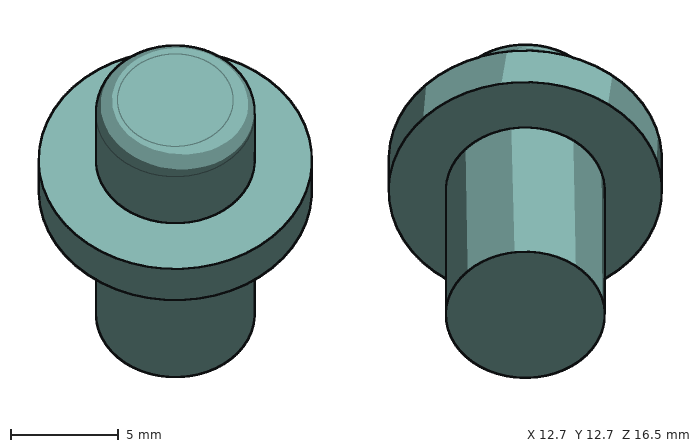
import cadquery as cq

total_height = 16.5
pin_diameter = 7.4
flange_diameter = 12.7
flange_base_height = 9.49
flange_thickness = 2.41
tip_radius = 1.0

pin = cq.Workplane("XY").circle(pin_diameter / 2).extrude(total_height)
pin = pin.faces(">Z").edges().fillet(tip_radius)

flange = (
    cq.Workplane("XY")
    .workplane(offset=flange_base_height)
    .circle(flange_diameter / 2)
    .extrude(flange_thickness)
)

result = pin.union(flange)